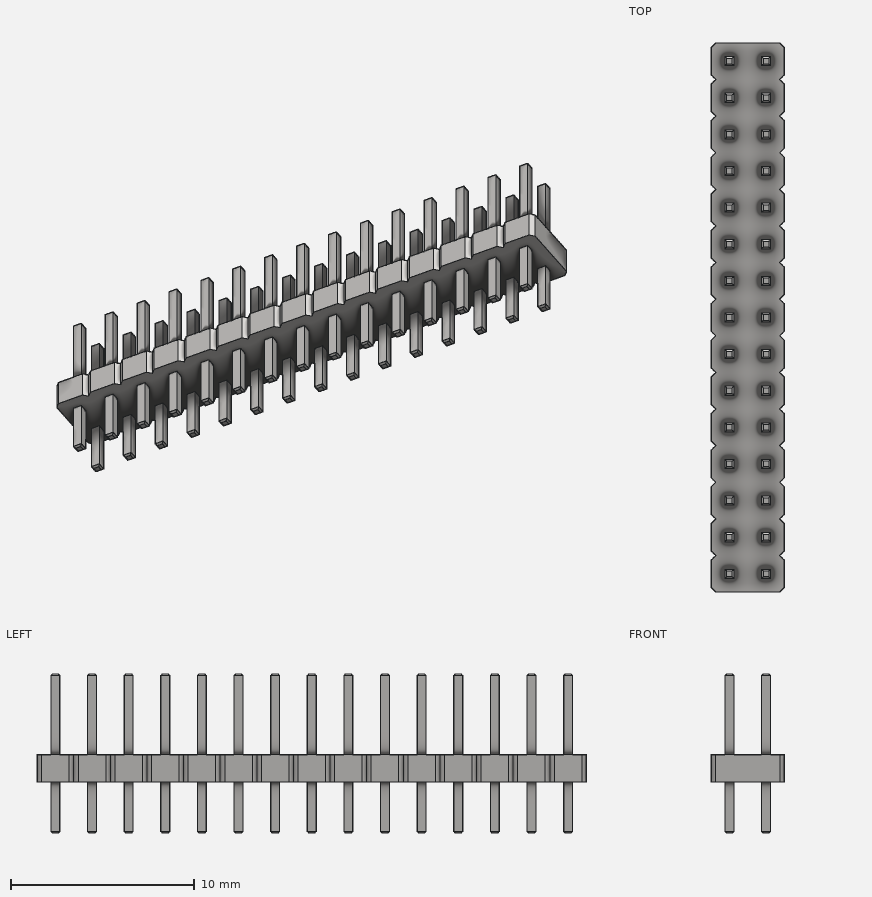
import cadquery as cq

length = 30.0
columns = 2
rows = 15
pitch = length / rows

body_width = columns * pitch
body_height = 1.5
notch_depth = 0.25
notch_reach = notch_depth

pin_side = pitch / 4
pin_above = 4.4
pin_below = 2.8
pin_length = pin_below + body_height + pin_above
tip_chamfer = 0.1


def row_boundaries():
    """Y positions of the lines between rows, including both body ends."""
    return [-length / 2 + i * pitch for i in range(rows + 1)]


def make_body():
    """Plain bar with a V notch on both long sides at every row boundary.

    The notches at the two ends lie half outside the bar and so bevel its corners.
    """
    body = cq.Workplane("XY").box(body_width, length, body_height, centered=(True, True, False))
    for y in row_boundaries():
        for side in (-1, 1):
            outer_x = side * body_width / 2
            notch = (
                cq.Workplane("XY")
                .moveTo(outer_x, y - notch_reach)
                .lineTo(outer_x - side * notch_depth, y)
                .lineTo(outer_x, y + notch_reach)
                .close()
                .extrude(body_height)
            )
            body = body.cut(notch)
    return body


def make_pins():
    """Square pins at the middle of each grid cell, bevelled at both tips."""
    return (
        cq.Workplane("XY", origin=(0, 0, -pin_below))
        .rarray(pitch, pitch, columns, rows)
        .rect(pin_side, pin_side)
        .extrude(pin_length)
        .faces("<Z or >Z")
        .chamfer(tip_chamfer)
    )


result = make_body().union(make_pins())